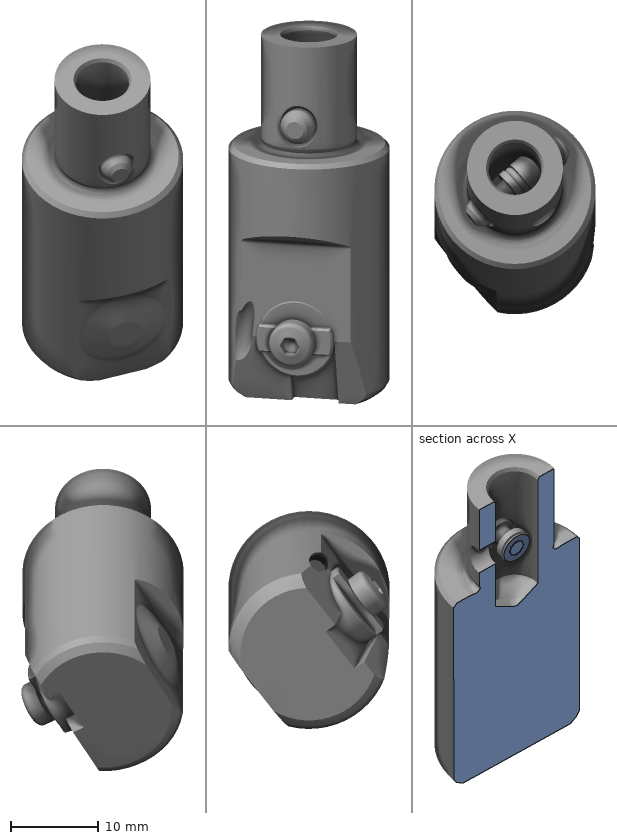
import cadquery as cq
import math

total_height = 42.5
body_diameter = 18.5
body_radius = body_diameter / 2
shoulder_height = 29.55
shoulder_chamfer = 0.5
foot_radius = 7.85
foot_mid_radius = 8.8
foot_mid_height = 0.7
foot_height = 1.4
shank_diameter = 11.0
shank_radius = shank_diameter / 2

undercut_top = 30.3
undercut_radius = 5.35
undercut_neck_height = 29.85
undercut_arc_radius = 0.7
undercut_arc_foot = 6.0
undercut_rim_radius = 6.7
undercut_depth = 0.13

bore_radius = 3.05
bore_chamfer = 0.25
bore_chamfer_depth = 0.42
bore_bottom = 25.5
drill_half_angle = 59.0

flat_shoulder_angle = 30.0
cut_margin = 0.42
flat_corner_fillet = 0.5
left_flat_x = -6.65
left_flat_top = 19.42
right_flat_x = 7.3
right_flat_top = 14.5

clamp_height = 8.0
slant_angle = 15.0
slot_back = 0.98
slot_front = -4.55
slot_depth = 1.35

boss_base_radius = 5.23
boss_top_radius = 2.0
boss_height = 1.05

pin_height = 33.02
pin_radius = 2.0
countersink_width = 0.45
countersink_depth = 0.75
side_hole_radius = 1.8
side_hole_height = 34.15

pin_left_end = -7.2
pin_right_end = 6.5
pin_end_radius = 1.0
tip_break_x = -6.95
tip_break_radius = 1.4
tip_cone_x = -6.1
tip_cone_radius = 1.85
tip_lead_x = -5.82
ring_groove_left = -0.85
ring_groove_right = 0.1
ring_groove_radius = 0.98
collar_end = 0.85
neck_radius = 1.15
neck_fillet = 0.3
head_start = 2.6
head_radius = 1.8
head_cone_start = 5.3
head_cone_end = 6.05
head_cone_radius = 1.5

coolant_radius = 1.25
coolant_start = cq.Vector(-2.4, 2.1, 25.5)
coolant_end = cq.Vector(-7.22, 7.3, 3.82)

disc_radius = 4.5
disc_back_x = -2.55
disc_chamfer = 0.15
tongue_height = 0.85
tongue_half_width = 1.6
tongue_chamfer = 0.2

screw_radius = 1.5
screw_head_radius = 2.6
screw_head_gap = 0.13
screw_head_rim = 1.3
overall_width = 19.05
screw_end_x = body_radius - overall_width
screw_edge_radius = 2.12
screw_edge_drop = 0.25
screw_face_radius = 1.2
socket_across_flats = 2.0
socket_depth = 1.05


def tan_deg(angle):
    return math.tan(math.radians(angle))


def rod_x(radius, x_start, x_end, height):
    """Cylinder along X, centred on Y = 0 at the given height."""
    return cq.Workplane("YZ", origin=(x_start, 0, height)).circle(radius).extrude(x_end - x_start)


def cone_x(start_radius, end_radius, x_start, length, height, direction=1):
    """Truncated cone along +X or -X, centred on Y = 0 at the given height."""
    return cq.Workplane(
        cq.Solid.makeCone(
            start_radius, end_radius, length, cq.Vector(x_start, 0, height), cq.Vector(direction, 0, 0)
        )
    )


def turned_x(profile, height):
    """Turn an XZ outline, whose second coordinate is a radius, about an X axis at the given height."""
    return profile.close().revolve(360, (0, 0, 0), (1, 0, 0)).translate((0, 0, height))


def turned_blank():
    return (
        cq.Workplane("XZ")
        .lineTo(foot_radius, 0)
        .lineTo(foot_mid_radius, foot_mid_height)
        .lineTo(body_radius, foot_height)
        .lineTo(body_radius, shoulder_height - shoulder_chamfer)
        .lineTo(body_radius - shoulder_chamfer, shoulder_height)
        .lineTo(undercut_rim_radius, shoulder_height)
        .lineTo(undercut_arc_foot, shoulder_height - undercut_depth)
        .radiusArc((undercut_radius, undercut_neck_height), undercut_arc_radius)
        .lineTo(shank_radius, undercut_top)
        .lineTo(shank_radius, total_height)
        .lineTo(0, total_height)
        .close()
        .revolve()
    )


def shank_bore():
    tip = bore_bottom - bore_radius / tan_deg(drill_half_angle)
    return (
        cq.Workplane("XZ")
        .moveTo(0, tip)
        .lineTo(bore_radius, bore_bottom)
        .lineTo(bore_radius, total_height - bore_chamfer_depth)
        .lineTo(bore_radius + bore_chamfer, total_height)
        .lineTo(0, total_height)
        .close()
        .revolve()
    )


def flat_cut(flat_x, top):
    """Material outside a flat that runs down to the foot from a sloped shoulder."""
    outer_x = math.copysign(body_radius + cut_margin, flat_x)
    rise = abs(outer_x - flat_x) * tan_deg(flat_shoulder_angle)
    return (
        cq.Workplane("XZ", origin=(0, body_radius, 0))
        .polyline([(flat_x, 0), (flat_x, top), (outer_x, top + rise), (outer_x, 0)])
        .close()
        .extrude(2 * body_radius)
        .edges("|Y")
        .edges(cq.selectors.NearestToPointSelector((flat_x, 0, top)))
        .fillet(flat_corner_fillet)
    )


def slant_cut(depth, y_back, y_front):
    """Material outside the slanted face, or outside a parallel face set deeper along X."""
    face_x = left_flat_x + depth
    foot_x = face_x + clamp_height * tan_deg(slant_angle)
    return (
        cq.Workplane("XZ", origin=(0, y_back, 0))
        .polyline([(-body_radius, 0), (foot_x, 0), (face_x, clamp_height), (-body_radius, clamp_height)])
        .close()
        .extrude(y_back - y_front)
    )


def cross_hole():
    hole = rod_x(pin_radius, -shank_radius, shank_radius, pin_height)
    for side in (-1, 1):
        countersink = cone_x(
            pin_radius + countersink_width, pin_radius,
            side * shank_radius, countersink_depth, pin_height, -side,
        )
        hole = hole.union(countersink)
    return hole


def coolant_hole():
    path = coolant_end - coolant_start
    return cq.Workplane(cq.Solid.makeCylinder(coolant_radius, path.Length, coolant_start, path))


def make_housing():
    side_hole = (
        cq.Workplane("XZ", origin=(0, 0, side_hole_height)).circle(side_hole_radius).extrude(-shank_radius)
    )
    boss = cone_x(boss_base_radius, boss_top_radius, right_flat_x, boss_height, clamp_height)
    return (
        turned_blank()
        .cut(shank_bore())
        .cut(flat_cut(left_flat_x, left_flat_top))
        .cut(flat_cut(right_flat_x, right_flat_top))
        .cut(slant_cut(0, body_radius, -body_radius))
        .cut(slant_cut(slot_depth, slot_back, slot_front))
        .cut(cross_hole())
        .cut(side_hole)
        .cut(coolant_hole())
        .cut(rod_x(disc_radius, left_flat_x, disc_back_x, clamp_height))
        .union(boss)
    )


def make_pin():
    profile = (
        cq.Workplane("XZ")
        .moveTo(pin_left_end, 0)
        .lineTo(pin_left_end, pin_end_radius)
        .lineTo(tip_break_x, tip_break_radius)
        .lineTo(tip_cone_x, tip_cone_radius)
        .lineTo(tip_lead_x, pin_radius)
        .lineTo(ring_groove_left, pin_radius)
        .lineTo(ring_groove_left, ring_groove_radius)
        .lineTo(ring_groove_right, ring_groove_radius)
        .lineTo(ring_groove_right, pin_radius)
        .lineTo(collar_end, pin_radius)
        .lineTo(collar_end, neck_radius + neck_fillet)
        .radiusArc((collar_end + neck_fillet, neck_radius), -neck_fillet)
        .lineTo(head_start - neck_fillet, neck_radius)
        .radiusArc((head_start, neck_radius + neck_fillet), -neck_fillet)
        .lineTo(head_start, head_radius)
        .lineTo(head_cone_start, head_radius)
        .lineTo(head_cone_end, head_cone_radius)
        .lineTo(pin_right_end, pin_end_radius)
        .lineTo(pin_right_end, 0)
    )
    return turned_x(profile, pin_height)


def make_seal_ring():
    section_radius = (ring_groove_right - ring_groove_left) / 2
    center_x = (ring_groove_right + ring_groove_left) / 2
    ring = cq.Solid.makeTorus(
        ring_groove_radius + section_radius, section_radius,
        cq.Vector(center_x, 0, pin_height), cq.Vector(1, 0, 0),
    )
    return cq.Workplane(ring)


def make_clamp_disc():
    disc = rod_x(disc_radius, left_flat_x, disc_back_x, clamp_height).faces("<X").chamfer(disc_chamfer)
    tongue_bar = cq.Workplane("XY").box(
        tongue_height + disc_chamfer, 2 * disc_radius, 2 * tongue_half_width, centered=(False, True, True)
    ).translate((left_flat_x - tongue_height, 0, clamp_height))
    tongue = (
        rod_x(disc_radius, left_flat_x - tongue_height, left_flat_x + disc_chamfer, clamp_height)
        .intersect(tongue_bar)
        .faces("<X")
        .chamfer(tongue_chamfer)
    )
    screw_hole = rod_x(screw_radius, left_flat_x - tongue_height, disc_back_x, clamp_height)
    return disc.union(tongue).cut(screw_hole)


def make_clamp_screw():
    seat_x = left_flat_x - tongue_height - screw_head_gap
    rim_x = seat_x - screw_head_rim
    edge_x = screw_end_x + screw_edge_drop
    profile = (
        cq.Workplane("XZ")
        .moveTo(disc_back_x, 0)
        .lineTo(disc_back_x, screw_radius)
        .lineTo(seat_x, screw_radius)
        .lineTo(seat_x, screw_head_radius)
        .lineTo(rim_x, screw_head_radius)
        .tangentArcPoint((edge_x, screw_edge_radius), relative=False)
        .lineTo(screw_end_x, screw_face_radius)
        .lineTo(screw_end_x, 0)
    )
    across_corners = socket_across_flats / math.cos(math.pi / 6)
    socket = (
        cq.Workplane("YZ", origin=(screw_end_x, 0, clamp_height))
        .polygon(6, across_corners)
        .extrude(socket_depth)
    )
    tip_radius = socket_across_flats / 2
    tip = cone_x(
        tip_radius, 0, screw_end_x + socket_depth, tip_radius / tan_deg(drill_half_angle), clamp_height
    )
    return turned_x(profile, clamp_height).cut(socket).cut(tip)


housing = make_housing()
pin = make_pin()
seal_ring = make_seal_ring()
clamp_disc = make_clamp_disc()
clamp_screw = make_clamp_screw()

result = cq.Compound.makeCompound(
    [housing.val(), pin.val(), seal_ring.val(), clamp_disc.val(), clamp_screw.val()]
)